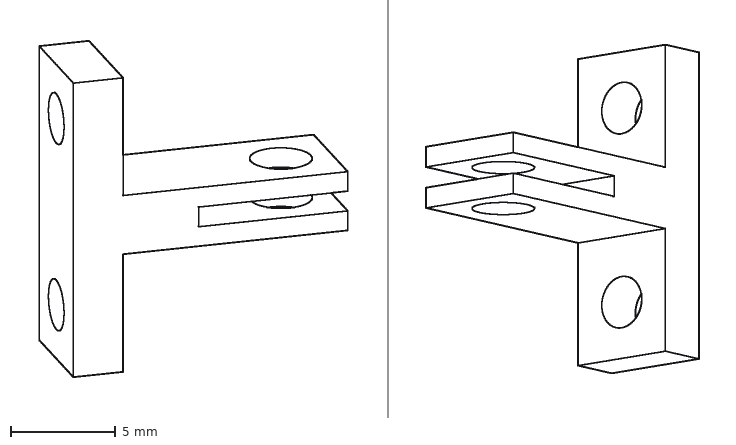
import cadquery as cq

width = 5.5
plate_height = 15.0
plate_thickness = 2.5
mount_hole_diameter = 2.5
mount_hole_spacing = 9.5

total_depth = 13.8
arm_thickness = 3.0
slot_gap = 1.0
slot_depth = 7.5
pin_hole_diameter = 3.0
pin_hole_end_distance = 2.5


def block(depth, height, start_y):
    """Full-width block starting at start_y, centred on X and Z."""
    return cq.Workplane("XY").box(width, depth, height, centered=(True, False, True)).translate((0, start_y, 0))


plate = block(plate_thickness, plate_height, 0)
arm = block(total_depth - plate_thickness, arm_thickness, plate_thickness)
slot = block(slot_depth, slot_gap, total_depth - slot_depth)

mount_holes = (
    cq.Workplane("XZ")
    .pushPoints([(0, -mount_hole_spacing / 2), (0, mount_hole_spacing / 2)])
    .circle(mount_hole_diameter / 2)
    .extrude(-plate_thickness)
)

pin_hole = (
    cq.Workplane("XY")
    .center(0, total_depth - pin_hole_end_distance)
    .circle(pin_hole_diameter / 2)
    .extrude(arm_thickness / 2, both=True)
)

result = plate.union(arm).cut(slot).cut(mount_holes).cut(pin_hole)